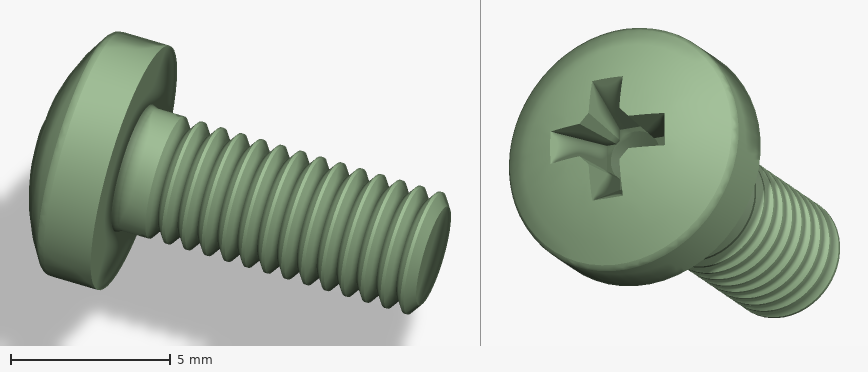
import cadquery as cq
import math

head_radius = 4.0
head_height = 3.1
dome_radius = 6.5
rim_fillet = 0.3

shank_radius = 2.0
shank_length = 10.0
neck_length = 0.2
neck_flare = 0.08

thread_count = 13
thread_pitch = 0.663
thread_depth = 0.38
groove_half_width = 0.278
crest_width = thread_pitch - 2 * groove_half_width

recess_floor = -0.78
wing_width = 1.075
wing_rim_reach = 2.0
wing_floor_reach = 1.0
core_rim_apothem = 0.99
core_floor_apothem = 0.84
tip_cone_radius = 0.86
tip_cone_half_angle = 68.0


def dome_x(radius):
    """X of the domed top at a distance from the axis."""
    return -head_height + dome_radius - math.sqrt(dome_radius**2 - radius**2)


def make_head():
    """Cylinder with a domed top and a rounded rim."""
    rim_x = dome_x(head_radius)
    profile = (
        cq.Workplane("XY")
        .moveTo(-head_height, 0)
        .threePointArc((dome_x(head_radius / 2), head_radius / 2), (rim_x, head_radius))
        .lineTo(0, head_radius)
        .lineTo(0, 0)
        .close()
    )
    head = profile.revolve(360, (0, 0, 0), (1, 0, 0))
    rim = cq.selectors.BoxSelector(
        (rim_x - rim_fillet, -2 * head_radius, -2 * head_radius),
        (rim_x + rim_fillet, 2 * head_radius, 2 * head_radius),
        boundingbox=True,
    )
    return head.edges(rim).fillet(rim_fillet)


def make_shank():
    """Revolve the flared neck, the plain shank and the ring-grooved thread."""
    root_radius = shank_radius - thread_depth
    first_root = shank_length - thread_count * thread_pitch
    profile = (
        cq.Workplane("XY")
        .moveTo(0, 0)
        .lineTo(0, shank_radius + neck_flare)
        .lineTo(neck_length, shank_radius)
        .lineTo(first_root - groove_half_width, shank_radius)
        .lineTo(first_root, root_radius)
    )
    for i in range(thread_count):
        crest_start = first_root + i * thread_pitch + groove_half_width
        profile = (
            profile.lineTo(crest_start, shank_radius)
            .lineTo(crest_start + crest_width, shank_radius)
            .lineTo(crest_start + crest_width + groove_half_width, root_radius)
        )
    return profile.lineTo(shank_length, 0).close().revolve(360, (0, 0, 0), (1, 0, 0))


def make_wing_pair():
    """Tapered slot across the head along Y, with parallel side walls."""
    taper = (wing_rim_reach - wing_floor_reach) / (recess_floor - dome_x(wing_rim_reach))
    mouth_reach = wing_floor_reach + taper * (recess_floor + head_height)
    return (
        cq.Workplane("XY")
        .polyline(
            [
                (-head_height, -mouth_reach),
                (-head_height, mouth_reach),
                (recess_floor, wing_floor_reach),
                (recess_floor, -wing_floor_reach),
            ]
        )
        .close()
        .extrude(wing_width / 2, both=True)
    )


def make_core():
    """Tapered square, turned 45 degrees, that bevels the corners between the wings.

    Its own corners are trimmed to the flat floor of the wings.
    """
    core = (
        cq.Workplane("YZ", origin=(-head_height, 0, 0))
        .rect(2 * core_rim_apothem, 2 * core_rim_apothem)
        .workplane(offset=head_height + recess_floor)
        .rect(2 * core_floor_apothem, 2 * core_floor_apothem)
        .loft(ruled=True)
    )
    core = core.rotate((0, 0, 0), (1, 0, 0), 45)
    corner_trim = cq.Workplane("XY").box(2 * head_height, 2 * wing_floor_reach, 2 * wing_floor_reach)
    return core.intersect(corner_trim)


def make_tip_cone():
    """Conical bottom of the recess, sunk below the flat floor of the wings."""
    cone_depth = tip_cone_radius / math.tan(math.radians(tip_cone_half_angle))
    return (
        cq.Workplane("XY")
        .polyline(
            [
                (recess_floor, 0),
                (recess_floor, tip_cone_radius),
                (recess_floor + cone_depth, 0),
            ]
        )
        .close()
        .revolve(360, (0, 0, 0), (1, 0, 0))
    )


wing_pair = make_wing_pair()
crossing_pair = wing_pair.rotate((0, 0, 0), (1, 0, 0), 90)

result = (
    make_head()
    .union(make_shank())
    .cut(wing_pair)
    .cut(crossing_pair)
    .cut(make_core())
    .cut(make_tip_cone())
)